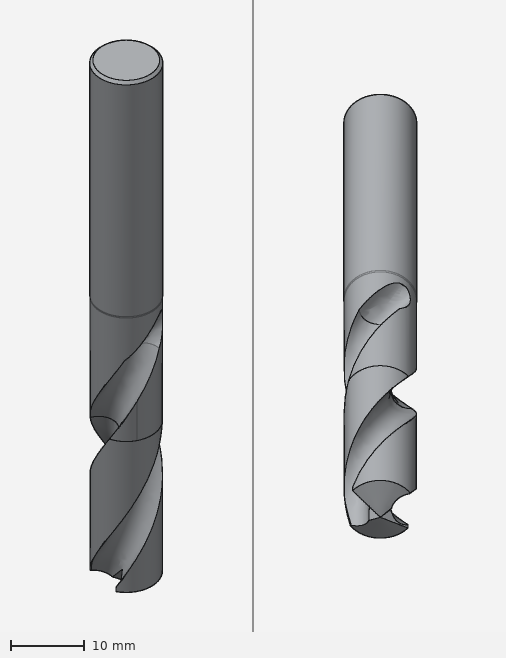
import cadquery as cq
import math

total_length = 89.0
shank_diameter = 10.0
shank_bottom = 48.95
shank_chamfer = 0.45
step_chamfer = 0.3
drill_diameter = 9.9
cutting_length = 27.6
point_angle = 140.0

flute_count = 2
flute_pitch = 53.4
flute_radius = 2.8
flute_center_radius = 4.3
flute_angle_at_joint = -79.0
flute_top = 41.4
flute_start = -0.9

runout_height = 5.8
runout_tangential = 5.0
runout_radial = 1.5

gash_floor_angle = 61.0
gash_floor_direction = -30.0
lip_direction = -34.0

shank_radius = shank_diameter / 2
drill_radius = drill_diameter / 2
point_height = drill_radius / math.tan(math.radians(point_angle / 2))
degrees_per_unit = 360.0 / flute_pitch
flute_spacing = 360.0 / flute_count


def rotate_about_axis(shape, angle):
    return shape.rotate(cq.Vector(0, 0, 0), cq.Vector(0, 0, 1), angle)


def flute_angle(height):
    """Direction of the first flute at a height, in degrees from +X."""
    return flute_angle_at_joint + (height - cutting_length) * degrees_per_unit


def make_flute():
    """Cutters for the helical groove and its straight run-out."""
    helix_length = flute_top - flute_start
    groove = (
        cq.Workplane("XY")
        .moveTo(flute_center_radius, 0)
        .circle(flute_radius)
        .twistExtrude(helix_length, helix_length * degrees_per_unit)
        .val()
        .translate(cq.Vector(0, 0, flute_start))
    )
    groove = rotate_about_axis(groove, flute_angle(flute_start))
    end_circle = cq.Wire.makeCircle(
        flute_radius, cq.Vector(flute_center_radius, 0, flute_top), cq.Vector(0, 0, 1)
    )
    runout_path = cq.Vector(runout_radial, runout_tangential, runout_height)
    runout = cq.Solid.extrudeLinear(end_circle, [], runout_path)
    runout = rotate_about_axis(runout, flute_angle(flute_top))
    return [groove, runout]


def cut_flutes(body):
    for index in range(flute_count):
        for cutter in make_flute():
            body = body.cut(cq.Workplane(rotate_about_axis(cutter, index * flute_spacing)))
    return body


def make_holder():
    """Plain shank with the upper, non-cutting part of the fluted neck."""
    blank = (
        cq.Workplane("XZ")
        .moveTo(0, cutting_length)
        .lineTo(drill_radius, cutting_length)
        .lineTo(drill_radius, shank_bottom - step_chamfer)
        .lineTo(shank_radius, shank_bottom)
        .lineTo(shank_radius, total_length - shank_chamfer)
        .lineTo(shank_radius - shank_chamfer, total_length)
        .lineTo(0, total_length)
        .close()
        .revolve(360, (0, 0, 0), (0, 1, 0))
    )
    return cut_flutes(blank)


def make_gash():
    """Wedge with its lip wall through the drill axis and its floor rising from the point."""
    gash_height = drill_diameter * math.tan(math.radians(gash_floor_angle))
    floor_wedge = (
        cq.Workplane("XZ")
        .lineTo(drill_diameter, 0)
        .lineTo(drill_diameter, gash_height)
        .close()
        .extrude(drill_diameter)
        .val()
    )
    lip_side = (
        cq.Workplane("XZ")
        .rect(2 * drill_diameter, 2 * gash_height)
        .extrude(drill_diameter)
        .val()
    )
    floor_wedge = rotate_about_axis(floor_wedge, gash_floor_direction)
    return floor_wedge.intersect(rotate_about_axis(lip_side, lip_direction))


def make_cutting_end():
    """Fluted cutting length with a conical point."""
    blank = (
        cq.Workplane("XZ")
        .moveTo(0, 0)
        .lineTo(drill_radius, point_height)
        .lineTo(drill_radius, cutting_length)
        .lineTo(0, cutting_length)
        .close()
        .revolve(360, (0, 0, 0), (0, 1, 0))
    )
    body = cut_flutes(blank)
    for index in range(flute_count):
        body = body.cut(cq.Workplane(rotate_about_axis(make_gash(), index * flute_spacing)))
    return body


holder = make_holder()
cutting_end = make_cutting_end()
result = cq.Compound.makeCompound([holder.val(), cutting_end.val()])